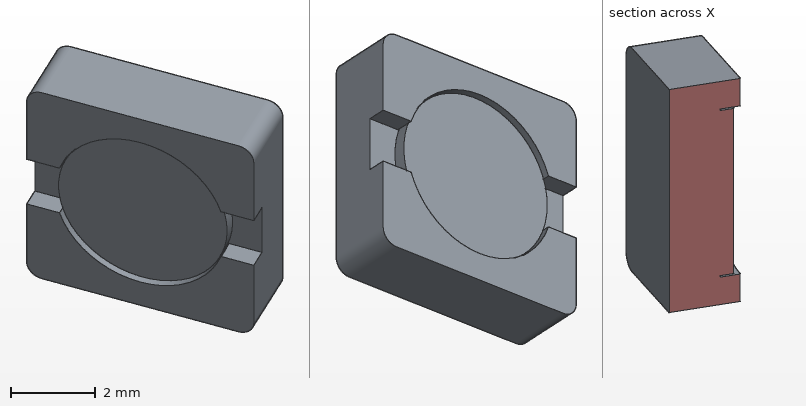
import cadquery as cq

side = 5.8
depth = 1.8
corner_radius = 0.4

front_layer_depth = 0.505
channel_height = 1.39
well_diameter = 4.35

core_diameter = 4.305
core_recess = 0.16
core_height = front_layer_depth - core_recess

front_y = -depth / 2
floor_y = front_y + front_layer_depth


def plane_at(y):
    """XZ plane at the given Y, extruding toward -Y."""
    return cq.Workplane("XZ", origin=(0, y, 0))


block = plane_at(depth / 2).rect(side, side).extrude(depth).edges("|Y").fillet(corner_radius)

channel = plane_at(floor_y).rect(side, channel_height).extrude(front_layer_depth)
well = plane_at(floor_y).circle(well_diameter / 2).extrude(front_layer_depth)

core = plane_at(floor_y).circle(core_diameter / 2).extrude(core_height)

result = block.cut(channel).cut(well).union(core)